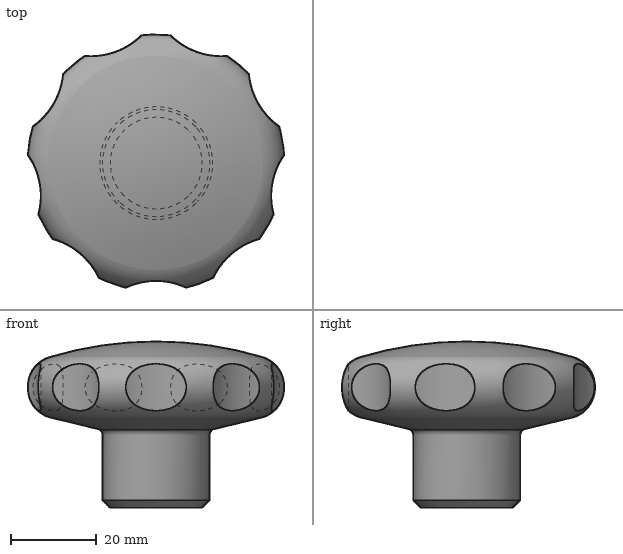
import cadquery as cq
import math

rim_radius = 30.0
rim_mid_height = 28.15
rim_half_height = 7.0
face_radius = 25.0

total_height = 38.85
hub_radius = 12.5
hub_chamfer = 1.8
hub_blend_start = 16.95
hub_blend_radius = 13.2
hub_blend_end = 18.25

grip_count = 9
grip_radius = 16.75
grip_floor = 27.6
first_grip_angle = -90

rim_top = rim_mid_height + rim_half_height
rim_bottom = rim_mid_height - rim_half_height


def crown_height(radius):
    """Height of the spherical crown at a distance from the axis."""
    rise = total_height - rim_top
    sphere_radius = (face_radius**2 + rise**2) / (2 * rise)
    return total_height - sphere_radius + math.sqrt(sphere_radius**2 - radius**2)


def make_body():
    """Revolved knob: chamfered hub, flared underside, rounded rim, domed crown."""
    crown_middle = face_radius / 2
    return (
        cq.Workplane("XZ")
        .lineTo(hub_radius - hub_chamfer, 0)
        .lineTo(hub_radius, hub_chamfer)
        .lineTo(hub_radius, hub_blend_start)
        .tangentArcPoint((hub_blend_radius, hub_blend_end), relative=False)
        .lineTo(face_radius, rim_bottom)
        .threePointArc((rim_radius, rim_mid_height), (face_radius, rim_top))
        .threePointArc((crown_middle, crown_height(crown_middle)), (0, total_height))
        .close()
        .revolve(360, (0, 0), (0, 1))
    )


def make_grip_cutters():
    """Upright cylinders evenly spaced around the rim."""
    return (
        cq.Workplane("XY")
        .polarArray(grip_floor + grip_radius, first_grip_angle, 360, grip_count)
        .circle(grip_radius)
        .extrude(total_height)
    )


result = make_body().cut(make_grip_cutters())